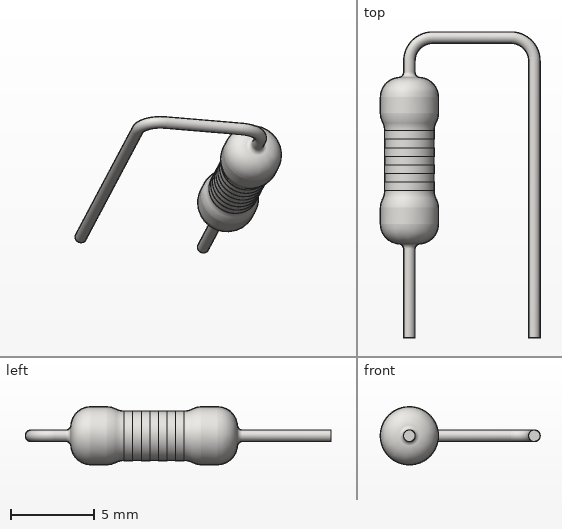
import cadquery as cq
import math


lead_radius = 0.7 / 2
lead_pitch = 7.5
bend_radius = 1.4
overall_length = 18.35
rear_reach = 7.73
lead_tip_y = rear_reach - overall_length
crossbar_y = rear_reach - lead_radius
bend_start_y = crossbar_y - bend_radius

cap_radius = 3.5 / 2
barrel_radius = 2.98 / 2
band_radius = 3.0 / 2
band_count = 4
band_width = 0.515
band_pitch = 2 * band_width
barrel_half_length = (2 * band_count - 1) * band_width / 2
shoulder_length = 2 * band_width
cap_start_y = barrel_half_length + shoulder_length
dome_start_y = 3.8
dome_radius = 1.2
neck_fillet = 0.3


def point_on_circle(center, radius, angle):
    return (center[0] + radius * math.cos(angle), center[1] + radius * math.sin(angle))


def make_body_end():
    """Revolve the +Y end of the body: shoulder, cap, dome and neck fillet."""
    shoulder_drop = cap_radius - barrel_radius
    shoulder_arc_radius = (shoulder_length**2 + shoulder_drop**2) / (4 * shoulder_drop)
    shoulder_angle = math.asin(shoulder_length / 2 / shoulder_arc_radius)
    shoulder_middle = ((cap_radius + barrel_radius) / 2, barrel_half_length + shoulder_length / 2)
    concave_center = (barrel_radius + shoulder_arc_radius, barrel_half_length)
    convex_center = (cap_radius - shoulder_arc_radius, cap_start_y)
    concave_mid = point_on_circle(concave_center, shoulder_arc_radius, math.pi - shoulder_angle / 2)
    convex_mid = point_on_circle(convex_center, shoulder_arc_radius, -shoulder_angle / 2)

    dome_center = (cap_radius - dome_radius, dome_start_y)
    neck_center_x = lead_radius + neck_fillet
    neck_offset_x = neck_center_x - dome_center[0]
    neck_angle = math.acos(neck_offset_x / (dome_radius + neck_fillet))
    neck_center = point_on_circle(dome_center, dome_radius + neck_fillet, neck_angle)
    dome_end = point_on_circle(dome_center, dome_radius, neck_angle)
    dome_mid = point_on_circle(dome_center, dome_radius, neck_angle / 2)
    neck_mid = point_on_circle(neck_center, neck_fillet, math.pi + neck_angle / 2)

    profile = (
        cq.Workplane("XY")
        .moveTo(0, barrel_half_length)
        .lineTo(barrel_radius, barrel_half_length)
        .threePointArc(concave_mid, shoulder_middle)
        .threePointArc(convex_mid, (cap_radius, cap_start_y))
        .lineTo(cap_radius, dome_start_y)
        .threePointArc(dome_mid, dome_end)
        .threePointArc(neck_mid, (lead_radius, neck_center[1]))
        .lineTo(0, neck_center[1])
        .close()
    )
    return profile.revolve(360, (0, 0, 0), (0, 1, 0))


def make_cylinder(radius, length, center_y):
    """Solid cylinder along Y, centred at center_y."""
    start = cq.Workplane("XZ", origin=(0, center_y + length / 2, 0))
    return start.circle(radius).extrude(length)


def make_lead():
    """One wire through the body, with two quarter bends at the +Y end."""
    bend_offset = bend_radius * (1 - math.cos(math.pi / 4))
    bend_mid_y = crossbar_y - bend_offset
    path = (
        cq.Workplane("XY")
        .moveTo(0, lead_tip_y)
        .lineTo(0, bend_start_y)
        .threePointArc((bend_offset, bend_mid_y), (bend_radius, crossbar_y))
        .lineTo(lead_pitch - bend_radius, crossbar_y)
        .threePointArc((lead_pitch - bend_offset, bend_mid_y), (lead_pitch, bend_start_y))
        .lineTo(lead_pitch, lead_tip_y)
    )
    section = cq.Workplane("XZ", origin=(0, lead_tip_y, 0)).circle(lead_radius)
    return section.sweep(path)


body_end = make_body_end()
result = make_cylinder(barrel_radius, 2 * barrel_half_length, 0)
result = result.union(body_end).union(body_end.mirror("XZ"))

for index in range(band_count):
    band_center_y = (index - (band_count - 1) / 2) * band_pitch
    result = result.union(make_cylinder(band_radius, band_width, band_center_y))

result = result.union(make_lead())